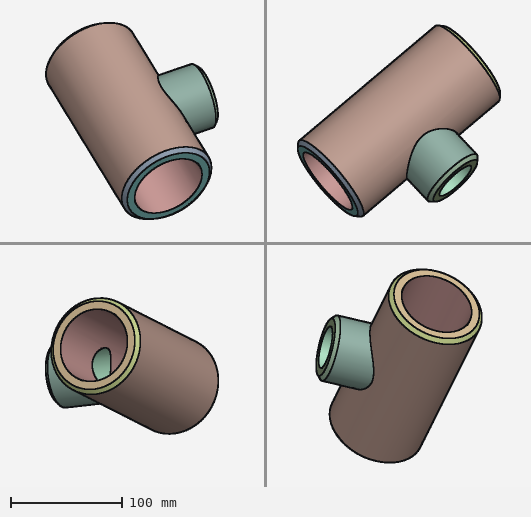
import cadquery as cq

run_length = 171.7
run_diameter = 89.0
wall = 11.2

branch_diameter = 60.8
branch_reach = 76.2

bevel = 3.8


def pipe_body(plane, diameter, length):
    """Solid cylinder starting at the plane origin and following its normal."""
    return cq.Workplane(plane).circle(diameter / 2).extrude(length)


run_plane = cq.Plane(origin=(-run_length / 2, 0, 0), xDir=(0, 1, 0), normal=(1, 0, 0))
branch_plane = cq.Plane(origin=(0, 0, 0), xDir=(1, 0, 0), normal=(0, 1, 0))

run = pipe_body(run_plane, run_diameter, run_length).faces("<X or >X").chamfer(bevel)
branch = pipe_body(branch_plane, branch_diameter, branch_reach).faces(">Y").chamfer(bevel)

run_bore = pipe_body(run_plane, run_diameter - 2 * wall, run_length)
branch_bore = pipe_body(branch_plane, branch_diameter - 2 * wall, branch_reach)

result = run.union(branch).cut(run_bore).cut(branch_bore)